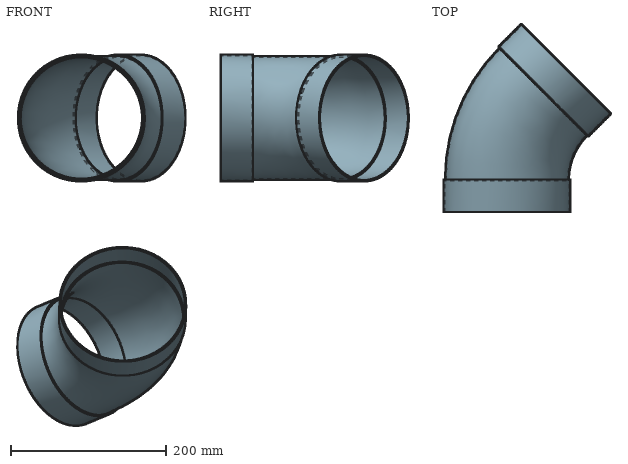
import cadquery as cq
import math

bend_angle = 45.0
bend_radius = 159.7
socket_length = 42.0
socket_outer_diameter = 163.5
pipe_outer_diameter = 160.0
wall = 1.82
shoulder_length = 1.82

socket_bore_diameter = socket_outer_diameter - 2 * wall
pipe_bore_diameter = pipe_outer_diameter - 2 * wall

turn = math.radians(bend_angle)
bend_start = (0, 0, 0)
start_direction = (0, -1, 0)
bend_end = (bend_radius * (1 - math.cos(turn)), bend_radius * math.sin(turn), 0)
end_direction = (math.sin(turn), math.cos(turn), 0)


def curved_pipe():
    """Pipe wall revolved about the vertical axis through the bend centre."""
    return (
        cq.Workplane("XZ")
        .circle(pipe_outer_diameter / 2)
        .circle(pipe_bore_diameter / 2)
        .revolve(bend_angle, (bend_radius, 0, 0), (bend_radius, -1, 0))
    )


def socket(joint_centre, outward):
    """Sleeve extending outward from the pipe end, with an inner shoulder."""
    joint_plane = cq.Plane(origin=joint_centre, xDir=(0, 0, 1), normal=outward)
    sleeve = (
        cq.Workplane(joint_plane)
        .circle(socket_outer_diameter / 2)
        .circle(pipe_bore_diameter / 2)
        .extrude(socket_length)
    )
    bore = (
        cq.Workplane(joint_plane)
        .workplane(offset=shoulder_length)
        .circle(socket_bore_diameter / 2)
        .extrude(socket_length - shoulder_length)
    )
    return sleeve.cut(bore)


first_socket = socket(bend_start, start_direction)
second_socket = socket(bend_end, end_direction)
result = curved_pipe().union(first_socket).union(second_socket)